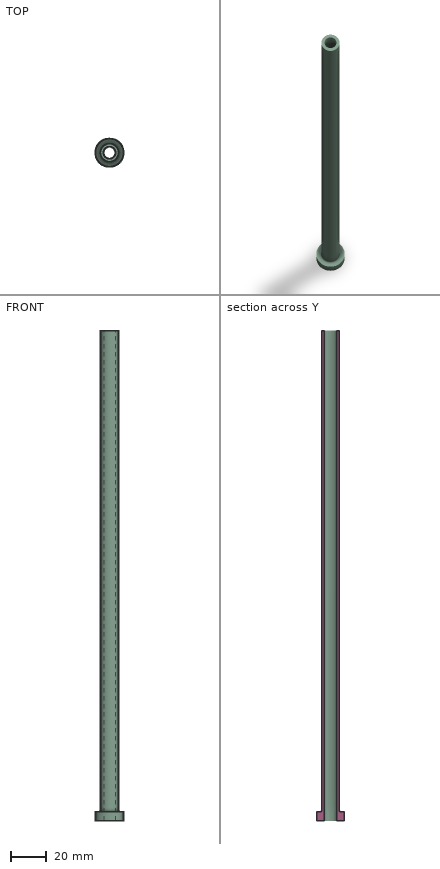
import cadquery as cq

total_length = 275.0
head_diameter = 16.0
head_height = 5.2
shaft_diameter = 10.2
bore_diameter = 6.5
neck_fillet_radius = 0.5

head_radius = head_diameter / 2
shaft_radius = shaft_diameter / 2
bore_radius = bore_diameter / 2

half_section = (
    cq.Workplane("XZ")
    .moveTo(bore_radius, 0)
    .lineTo(head_radius, 0)
    .lineTo(head_radius, head_height)
    .lineTo(shaft_radius + neck_fillet_radius, head_height)
    .radiusArc((shaft_radius, head_height + neck_fillet_radius), neck_fillet_radius)
    .lineTo(shaft_radius, total_length)
    .lineTo(bore_radius, total_length)
    .close()
)

result = half_section.revolve(360, (0, 0, 0), (0, 1, 0))